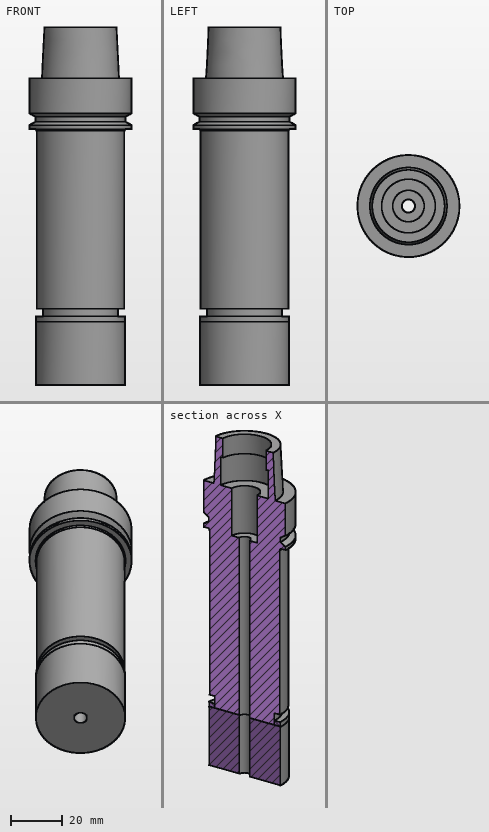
import cadquery as cq

TOTAL_LENGTH = 140.0
NUT_HEIGHT = 24.8
RING_HEIGHT = 2.1
NECK_GAP = 3.0
RING_TOP = NUT_HEIGHT + RING_HEIGHT
BODY_BOTTOM = RING_TOP + NECK_GAP

NUT_RADIUS = 17.5
THROUGH_HOLE_RADIUS = 2.5

NECK_RADIUS = 14.7
BODY_RADIUS = 17.2
FLANGE_RADIUS = 20.0
TAPER_LENGTH = 20.0
TAPER_TOP_RADIUS = 14.1
TAPER_BASE_RADIUS = 15.1
FLANGE_TOP = TOTAL_LENGTH - TAPER_LENGTH
FLANGE_HEIGHT = 19.9
FLANGE_BOTTOM = FLANGE_TOP - FLANGE_HEIGHT

COLLAR_RADIUS = 17.6
COLLAR_HEIGHT = 0.7

GROOVE_RADIUS = 17.6
GROOVE_RIM_HEIGHT = 1.5
GROOVE_FLOOR_HEIGHT = 1.8
GROOVE_SLANT_HEIGHT = 1.4
GROOVE_BOTTOM = FLANGE_BOTTOM + GROOVE_RIM_HEIGHT
GROOVE_FLOOR_BOTTOM = GROOVE_BOTTOM + GROOVE_SLANT_HEIGHT
GROOVE_FLOOR_TOP = GROOVE_FLOOR_BOTTOM + GROOVE_FLOOR_HEIGHT
GROOVE_TOP = GROOVE_FLOOR_TOP + GROOVE_SLANT_HEIGHT

MOUTH_RADIUS = 10.5
MOUTH_DEPTH = 8.3
UNDERCUT_RADIUS = 11.5
SOCKET_DEPTH = TAPER_LENGTH
MIDDLE_BORE_RADIUS = 6.2
MIDDLE_BORE_DEPTH = 2 * TAPER_LENGTH


def cylinder(radius, bottom, top):
    """Upright cylinder on the Z axis between two heights."""
    return cq.Workplane("XY").workplane(offset=bottom).circle(radius).extrude(top - bottom)


def make_holder_blank():
    """Revolved outside of the holder: neck, body, grooved flange and taper."""
    outline = [
        (0, NUT_HEIGHT),
        (NECK_RADIUS, NUT_HEIGHT),
        (NECK_RADIUS, BODY_BOTTOM),
        (BODY_RADIUS, BODY_BOTTOM),
        (BODY_RADIUS, FLANGE_BOTTOM - COLLAR_HEIGHT),
        (COLLAR_RADIUS, FLANGE_BOTTOM),
        (FLANGE_RADIUS, FLANGE_BOTTOM),
        (FLANGE_RADIUS, GROOVE_BOTTOM),
        (GROOVE_RADIUS, GROOVE_FLOOR_BOTTOM),
        (GROOVE_RADIUS, GROOVE_FLOOR_TOP),
        (FLANGE_RADIUS, GROOVE_TOP),
        (FLANGE_RADIUS, FLANGE_TOP),
        (TAPER_BASE_RADIUS, FLANGE_TOP),
        (TAPER_TOP_RADIUS, TOTAL_LENGTH),
        (0, TOTAL_LENGTH),
    ]
    return cq.Workplane("XZ").polyline(outline).close().revolve(360, (0, 0), (0, 1))


def make_holder():
    """Tool holder with its undercut socket and stepped bore."""
    mouth_bottom = TOTAL_LENGTH - MOUTH_DEPTH
    socket_floor = TOTAL_LENGTH - SOCKET_DEPTH
    middle_floor = TOTAL_LENGTH - MIDDLE_BORE_DEPTH
    return (
        make_holder_blank()
        .cut(cylinder(MOUTH_RADIUS, mouth_bottom, TOTAL_LENGTH))
        .cut(cylinder(UNDERCUT_RADIUS, socket_floor, mouth_bottom))
        .cut(cylinder(MIDDLE_BORE_RADIUS, middle_floor, socket_floor))
        .cut(cylinder(THROUGH_HOLE_RADIUS, NUT_HEIGHT, middle_floor))
    )


def make_ring():
    """Thin ring around the holder neck, seated on the nut."""
    hole = cylinder(NECK_RADIUS, NUT_HEIGHT, RING_TOP)
    return cylinder(NUT_RADIUS, NUT_HEIGHT, RING_TOP).cut(hole)


def make_nut():
    """Clamping nut below the neck, with the through hole continued."""
    hole = cylinder(THROUGH_HOLE_RADIUS, 0, NUT_HEIGHT)
    return cylinder(NUT_RADIUS, 0, NUT_HEIGHT).cut(hole)


holder = make_holder()
ring = make_ring()
nut = make_nut()

result = cq.Compound.makeCompound([holder.val(), ring.val(), nut.val()])